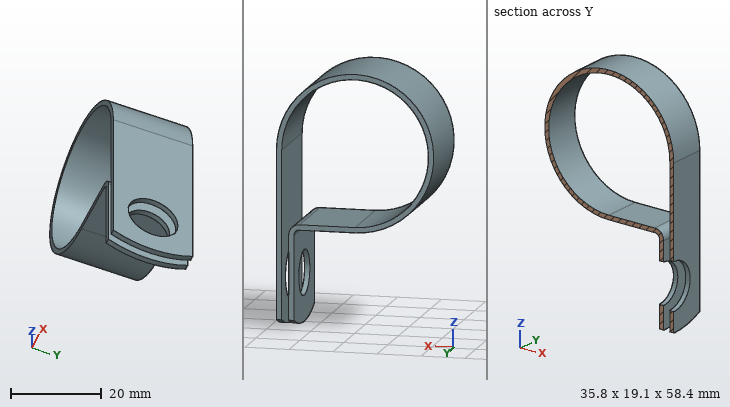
import cadquery as cq

loop_diameter = 35.75
strip_width = 19.1
total_height = 58.35
thickness = 1.2
leg_gap = 1.6
bend_inner_radius = 1.2
short_leg_hole_diameter = 10.25
long_leg_hole_diameter = 11.9
hole_above_end = 11.1
end_arc_drop = 2.15

outer_radius = loop_diameter / 2
inner_radius = outer_radius - thickness
bend_outer_radius = bend_inner_radius + thickness
leg_end = outer_radius - total_height
short_leg_outer = inner_radius - leg_gap
short_leg_inner = short_leg_outer - thickness
bend_start = short_leg_outer - bend_outer_radius
bend_end = -inner_radius - bend_outer_radius
hole_height = leg_end + hole_above_end
half_width = strip_width / 2


def bent_strip():
    """Strip of constant thickness: long leg, three-quarter loop, shelf, bend and short leg."""
    return (
        cq.Workplane("XZ")
        .moveTo(outer_radius, leg_end)
        .lineTo(outer_radius, 0)
        .tangentArcPoint((-outer_radius, 0), relative=False)
        .tangentArcPoint((0, -outer_radius), relative=False)
        .lineTo(bend_start, -outer_radius)
        .tangentArcPoint((short_leg_inner, bend_end), relative=False)
        .lineTo(short_leg_inner, leg_end)
        .lineTo(short_leg_outer, leg_end)
        .lineTo(short_leg_outer, bend_end)
        .tangentArcPoint((bend_start, -inner_radius), relative=False)
        .lineTo(0, -inner_radius)
        .tangentArcPoint((-inner_radius, 0), relative=False)
        .tangentArcPoint((inner_radius, 0), relative=False)
        .lineTo(inner_radius, leg_end)
        .close()
        .extrude(half_width, both=True)
    )


def side_outline():
    """Full-height envelope, seen along X, with the lower edge curved."""
    return (
        cq.Workplane("YZ")
        .moveTo(-half_width, outer_radius)
        .lineTo(-half_width, leg_end + end_arc_drop)
        .threePointArc((0, leg_end), (half_width, leg_end + end_arc_drop))
        .lineTo(half_width, outer_radius)
        .close()
        .extrude(outer_radius, both=True)
    )


def leg_hole(diameter, leg_inner_face):
    """Cylinder along X, as deep as the strip is thick, starting at a leg's -X face."""
    return (
        cq.Workplane("YZ", origin=(leg_inner_face, 0, hole_height))
        .circle(diameter / 2)
        .extrude(thickness)
    )


clip = bent_strip().intersect(side_outline())
clip = clip.cut(leg_hole(short_leg_hole_diameter, short_leg_inner))
result = clip.cut(leg_hole(long_leg_hole_diameter, inner_radius))